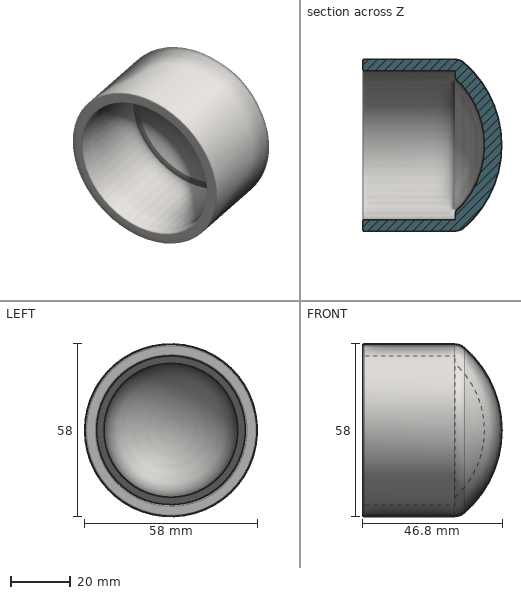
import cadquery as cq
import math

outer_radius = 29.0
length = 46.8
straight_length = 30.8
shoulder_round = 5.0
rim_round = 0.5
bore_radius = 50.0 / 2
bore_depth = 31.0
cavity_radius = 22.5

rim_round_inset = rim_round * (1 - math.cos(math.pi / 4))

round_center_r = outer_radius - shoulder_round
round_to_tip = length - straight_length
dome_radius = (round_center_r**2 + round_to_tip**2 - shoulder_round**2) / (
    2 * (round_to_tip - shoulder_round)
)
dome_center_x = length - dome_radius

tangent_angle = math.atan2(round_center_r, straight_length - dome_center_x)


def on_dome(radius, angle):
    """Point on a circle about the dome center, as (x, distance from axis)."""
    return (dome_center_x + radius * math.cos(angle), radius * math.sin(angle))


def on_round(angle):
    """Point on the shoulder round, as (x, distance from axis)."""
    return (
        straight_length + shoulder_round * math.cos(angle),
        round_center_r + shoulder_round * math.sin(angle),
    )


def outer_body():
    profile = (
        cq.Workplane("XY")
        .moveTo(0, 0)
        .lineTo(0, outer_radius - rim_round)
        .threePointArc((rim_round_inset, outer_radius - rim_round_inset), (rim_round, outer_radius))
        .lineTo(straight_length, outer_radius)
        .threePointArc(on_round((tangent_angle + math.pi / 2) / 2), on_dome(dome_radius, tangent_angle))
        .threePointArc(on_dome(dome_radius, tangent_angle / 2), (length, 0))
        .close()
    )
    return profile.revolve(360, (0, 0, 0), (1, 0, 0))


def cavity():
    floor_to_center = bore_depth - dome_center_x
    inner_radius = math.hypot(floor_to_center, cavity_radius)
    edge_angle = math.atan2(cavity_radius, floor_to_center)
    profile = (
        cq.Workplane("XY")
        .moveTo(0, 0)
        .lineTo(0, bore_radius + rim_round)
        .threePointArc((rim_round_inset, bore_radius + rim_round_inset), (rim_round, bore_radius))
        .lineTo(bore_depth, bore_radius)
        .lineTo(bore_depth, cavity_radius)
        .threePointArc(on_dome(inner_radius, edge_angle / 2), on_dome(inner_radius, 0))
        .close()
    )
    return profile.revolve(360, (0, 0, 0), (1, 0, 0))


result = outer_body().cut(cavity())